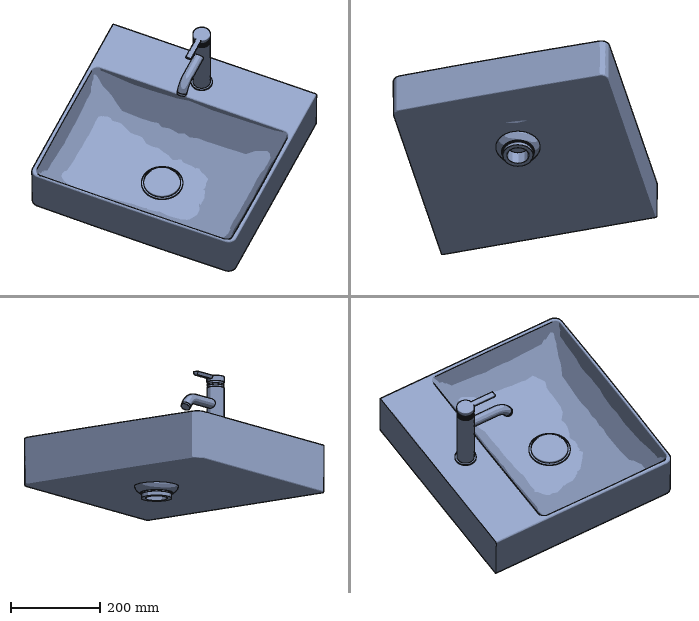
import cadquery as cq
import math


WIDTH = 500.0
DEPTH = 469.5
HEIGHT = 110.0
FRONT_BOW = 2.0
FRONT_CORNER_RADIUS = 20.0
WALL_TAPER = 0.5
RIM_BAND = 5.0
OUTER_EDGE_RADIUS = 4.0
BOWL_EDGE_RADIUS = 2.5
FLOOR_THICKNESS = 6.5

BOWL_Y = -293.5
DRAIN_RADIUS = 46.5
FLOOR_DEPTH = 107.5
BOWL_LEVELS = [
    (0.0, 241.0, 168.5, 1.0, 14.0),
    (37.5, 230.0, 153.0, 2.5, 27.5),
    (72.0, 204.0, 132.0, 5.0, 45.0),
    (96.0, 148.0, 101.5, 7.5, 50.0),
    (105.0, 97.5, 68.5, 9.0, 40.0),
]

OUTLET_TOP_RADIUS = 51.0
OUTLET_BOTTOM_RADIUS = 37.0
OUTLET_BOTTOM_DEPTH = 129.0
OUTLET_BULGE = 2.5
NECK_RADIUS = 34.5
NECK_BOTTOM_DEPTH = 132.0
PIPE_RADIUS = 29.5
PIPE_WALL = 5.0
TAIL_RADIUS = 34.0
WASTE_BOTTOM_DEPTH = 141.0
FLANGE_THICKNESS = 2.0
CAP_RADIUS = 41.5
CAP_TOP_DEPTH = 103.0
CAP_EDGE_RADIUS = 1.5

FAUCET_Y = -72.5
BASE_RADIUS = 24.0
BASE_HEIGHT = 2.5
COLUMN_RADIUS = 19.5
COLUMN_TOP = 150.0
COLLAR_RADIUS = 19.0
COLLAR_GROOVE_RADIUS = 18.0
COLLAR_BAND = 3.5
HANDLE_RADIUS = 20.0
HANDLE_BOTTOM = 163.0
FAUCET_TOP = 175.5
HANDLE_EDGE_RADIUS = 1.5
LEVER_END_Y = -147.0
LEVER_TOP_WIDTH = 15.0
LEVER_BOTTOM_WIDTH = 8.0
LEVER_THICKNESS = 8.0
LEVER_END_RADIUS = 4.0
LEVER_TOP_RADIUS = 1.5

SPOUT_DIAMETER = 22.5
SPOUT_Z = 111.0
BEND_START_Y = -151.5
BEND_RADIUS = 33.5
BEND_ANGLE = 56.0
SPOUT_TIP_LENGTH = 6.0
AERATOR_RADIUS = 10.5
AERATOR_LENGTH = 5.0


def disc(radius, bottom, top, y):
    """Upright cylinder between two heights, centred on X = 0."""
    return cq.Workplane("XY", origin=(0, y, bottom)).circle(radius).extrude(top - bottom)


def bowed_rectangle(z, half_x, half_y, bow, corner):
    """Rectangle whose four sides swell outward by `bow`, with corner arcs that meet them smoothly."""
    side_x = half_x - bow
    side_y = half_y - bow
    end_x = side_x - corner
    end_y = side_y - corner
    corner_turn = math.pi / 2 - 2 * math.atan(bow / end_x) - 2 * math.atan(bow / end_y)
    mid = corner / 2 * (1 + math.tan(corner_turn / 4))
    return (
        cq.Workplane("XY", origin=(0, BOWL_Y, z))
        .moveTo(-end_x, -side_y)
        .threePointArc((0, -half_y), (end_x, -side_y))
        .threePointArc((end_x + mid, -end_y - mid), (side_x, -end_y))
        .threePointArc((half_x, 0), (side_x, end_y))
        .threePointArc((end_x + mid, end_y + mid), (end_x, side_y))
        .threePointArc((0, half_y), (-end_x, side_y))
        .threePointArc((-end_x - mid, end_y + mid), (-side_x, end_y))
        .threePointArc((-half_x, 0), (-side_x, -end_y))
        .threePointArc((-end_x - mid, -end_y - mid), (-end_x, -side_y))
        .close()
        .val()
    )


def drain_circle():
    """Edge of the drain, a full circle split into eight equal arcs to pair with the other levels."""
    split = math.pi / 8
    bow = DRAIN_RADIUS * (1 - math.cos(split))
    corner = DRAIN_RADIUS * (math.cos(split) - math.sin(split))
    return bowed_rectangle(-FLOOR_DEPTH, DRAIN_RADIUS, DRAIN_RADIUS, bow, corner)


def bowl_hollow():
    """Space inside the bowl, down to the round edge of the drain."""
    levels = [
        bowed_rectangle(-depth, half_x, half_y, bow, corner)
        for depth, half_x, half_y, bow, corner in BOWL_LEVELS
    ]
    levels.append(drain_circle())
    return cq.Workplane(obj=cq.Solid.makeLoft(levels))


def basin_block():
    """Outer block: flat wall side, bowed front, round front corners, tapered walls."""
    half = WIDTH / 2
    overhang = FRONT_CORNER_RADIUS
    outline = (
        cq.Workplane("XY", origin=(0, 0, -RIM_BAND))
        .moveTo(-half, overhang)
        .lineTo(-half, -DEPTH + FRONT_BOW)
        .threePointArc((0, -DEPTH), (half, -DEPTH + FRONT_BOW))
        .lineTo(half, overhang)
        .close()
    )
    rim = outline.extrude(RIM_BAND).edges("|Z").edges("<Y").fillet(FRONT_CORNER_RADIUS)
    walls = rim.faces("<Z").wires().toPending().extrude(RIM_BAND - HEIGHT, combine=False, taper=WALL_TAPER)
    block = rim.union(walls).faces(">Z or <Z").edges().fillet(OUTER_EDGE_RADIUS)
    behind_wall = cq.Workplane("XY").box(2 * WIDTH, 2 * overhang, 3 * HEIGHT, centered=(True, False, True))
    return block.cut(behind_wall)


def outlet():
    """Bulging funnel below the bowl with a short straight neck."""
    top = -FLOOR_DEPTH
    middle_radius = (OUTLET_TOP_RADIUS + OUTLET_BOTTOM_RADIUS) / 2 + OUTLET_BULGE
    middle_z = (top - OUTLET_BOTTOM_DEPTH) / 2 - OUTLET_BULGE
    return (
        cq.Workplane("XZ", origin=(0, BOWL_Y, 0))
        .moveTo(0, top)
        .lineTo(OUTLET_TOP_RADIUS, top)
        .threePointArc((middle_radius, middle_z), (OUTLET_BOTTOM_RADIUS, -OUTLET_BOTTOM_DEPTH))
        .lineTo(NECK_RADIUS, -OUTLET_BOTTOM_DEPTH)
        .lineTo(NECK_RADIUS, -NECK_BOTTOM_DEPTH)
        .lineTo(0, -NECK_BOTTOM_DEPTH)
        .close()
        .revolve(360, (0, 0, 0), (0, 1, 0))
    )


def make_basin():
    hollow = bowl_hollow()
    underside = hollow.translate((0, 0, -FLOOR_THICKNESS))
    basin = basin_block().union(underside).union(outlet()).cut(hollow)
    bowl_back = BOWL_Y + BOWL_LEVELS[0][2]
    slack = 0.5
    margin = OUTER_EDGE_RADIUS + 2 * slack
    bowl_edges = cq.selectors.BoxSelector(
        (-WIDTH / 2 + margin, -DEPTH + margin, -slack),
        (WIDTH / 2 - margin, bowl_back + margin, slack),
        boundingbox=True,
    )
    basin = basin.edges(bowl_edges).fillet(BOWL_EDGE_RADIUS)
    return basin.cut(waste_envelope())


def waste_envelope():
    """Waste without its bore: flange, pipe through the neck, wider tail below the neck."""
    flange = disc(DRAIN_RADIUS, -FLOOR_DEPTH - FLANGE_THICKNESS, -FLOOR_DEPTH, BOWL_Y)
    pipe = disc(PIPE_RADIUS, -WASTE_BOTTOM_DEPTH, -FLOOR_DEPTH, BOWL_Y)
    tail = disc(TAIL_RADIUS, -WASTE_BOTTOM_DEPTH, -NECK_BOTTOM_DEPTH, BOWL_Y)
    return flange.union(pipe).union(tail)


def make_waste():
    bore = disc(PIPE_RADIUS - PIPE_WALL, -WASTE_BOTTOM_DEPTH, -FLOOR_DEPTH, BOWL_Y)
    return waste_envelope().cut(bore)


def make_cap():
    cap = disc(CAP_RADIUS, -FLOOR_DEPTH, -CAP_TOP_DEPTH, BOWL_Y)
    return cap.faces(">Z").edges().fillet(CAP_EDGE_RADIUS)


def make_base_ring():
    return disc(BASE_RADIUS, 0, BASE_HEIGHT, FAUCET_Y)


def make_column():
    return disc(COLUMN_RADIUS, BASE_HEIGHT, COLUMN_TOP, FAUCET_Y)


def make_collar():
    """Ring between column and handle, standing out in the middle with a groove on either side."""
    core = disc(COLLAR_GROOVE_RADIUS, COLUMN_TOP, HANDLE_BOTTOM, FAUCET_Y)
    middle = (COLUMN_TOP + HANDLE_BOTTOM) / 2
    band = disc(COLLAR_RADIUS, middle - COLLAR_BAND / 2, middle + COLLAR_BAND / 2, FAUCET_Y)
    return core.union(band)


def make_handle():
    hub = disc(HANDLE_RADIUS, HANDLE_BOTTOM, FAUCET_TOP, FAUCET_Y)
    hub = hub.faces(">Z").edges().fillet(HANDLE_EDGE_RADIUS)
    lever = (
        cq.Workplane("XZ", origin=(0, FAUCET_Y, 0))
        .moveTo(-LEVER_TOP_WIDTH / 2, FAUCET_TOP)
        .lineTo(LEVER_TOP_WIDTH / 2, FAUCET_TOP)
        .lineTo(LEVER_BOTTOM_WIDTH / 2, FAUCET_TOP - LEVER_THICKNESS)
        .lineTo(-LEVER_BOTTOM_WIDTH / 2, FAUCET_TOP - LEVER_THICKNESS)
        .close()
        .extrude(FAUCET_Y - LEVER_END_Y)
    )
    lever = lever.faces("<Y").edges("<Z").fillet(LEVER_END_RADIUS)
    lever = lever.faces(">Z").edges("|Y").fillet(LEVER_TOP_RADIUS)
    return hub.union(lever)


def bend_point(angle):
    """Point of the bend's centre line (Y, Z) after turning down by `angle` degrees."""
    turn = math.radians(angle)
    return (
        BEND_START_Y - BEND_RADIUS * math.sin(turn),
        SPOUT_Z - BEND_RADIUS * (1 - math.cos(turn)),
    )


def along_outlet(distance):
    """Point (Y, Z) beyond the end of the bend, along the outlet direction."""
    end_y, end_z = bend_point(BEND_ANGLE)
    turn = math.radians(BEND_ANGLE)
    return (end_y - distance * math.cos(turn), end_z - distance * math.sin(turn))


def make_spout():
    """Round tube that leaves the column level and bends down, fitted to the column's side."""
    path = (
        cq.Workplane("YZ")
        .moveTo(FAUCET_Y, SPOUT_Z)
        .lineTo(BEND_START_Y, SPOUT_Z)
        .threePointArc(bend_point(BEND_ANGLE / 2), bend_point(BEND_ANGLE))
        .lineTo(*along_outlet(SPOUT_TIP_LENGTH))
    )
    tube = cq.Workplane("XZ", origin=(0, FAUCET_Y, SPOUT_Z)).circle(SPOUT_DIAMETER / 2).sweep(path)
    return tube.cut(make_column())


def make_aerator():
    """Short insert on the end of the spout."""
    start_y, start_z = along_outlet(SPOUT_TIP_LENGTH)
    turn = math.radians(BEND_ANGLE)
    direction = cq.Vector(0, -math.cos(turn), -math.sin(turn))
    start = cq.Vector(0, start_y, start_z)
    return cq.Workplane(obj=cq.Solid.makeCylinder(AERATOR_RADIUS, AERATOR_LENGTH, start, direction))


basin = make_basin()
waste = make_waste()
cap = make_cap()
base_ring = make_base_ring()
column = make_column()
collar = make_collar()
handle = make_handle()
spout = make_spout()
aerator = make_aerator()

bodies = [basin, waste, cap, base_ring, column, collar, handle, spout, aerator]
result = cq.Compound.makeCompound([body.val() for body in bodies])